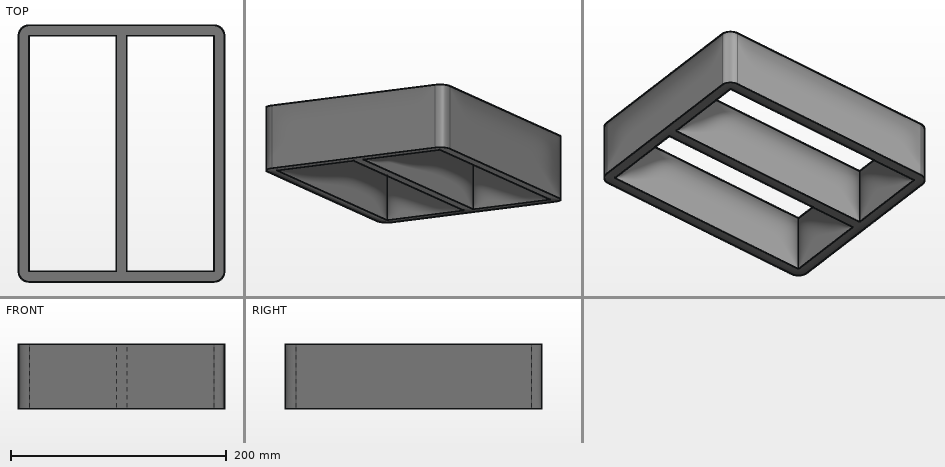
import cadquery as cq

length_x = 191.0
length_y = 238.0
height = 60.0
wall = 10.0
corner_radius = 10.0
compartment_count = 2

compartment_x = (length_x - (compartment_count + 1) * wall) / compartment_count
compartment_y = length_y - 2 * wall
compartment_pitch = compartment_x + wall


def make_body():
    """Solid block with rounded vertical corners, centred in X and Y, resting on Z = 0."""
    block = cq.Workplane("XY").box(length_x, length_y, height, centered=(True, True, False))
    return block.edges("|Z").fillet(corner_radius)


def cut_compartments(body):
    """Cut the sharp-cornered rectangular openings right through the height."""
    return (
        body.faces(">Z")
        .workplane(origin=(0, 0, height))
        .rarray(compartment_pitch, 1, compartment_count, 1)
        .rect(compartment_x, compartment_y)
        .cutThruAll()
    )


result = cut_compartments(make_body())